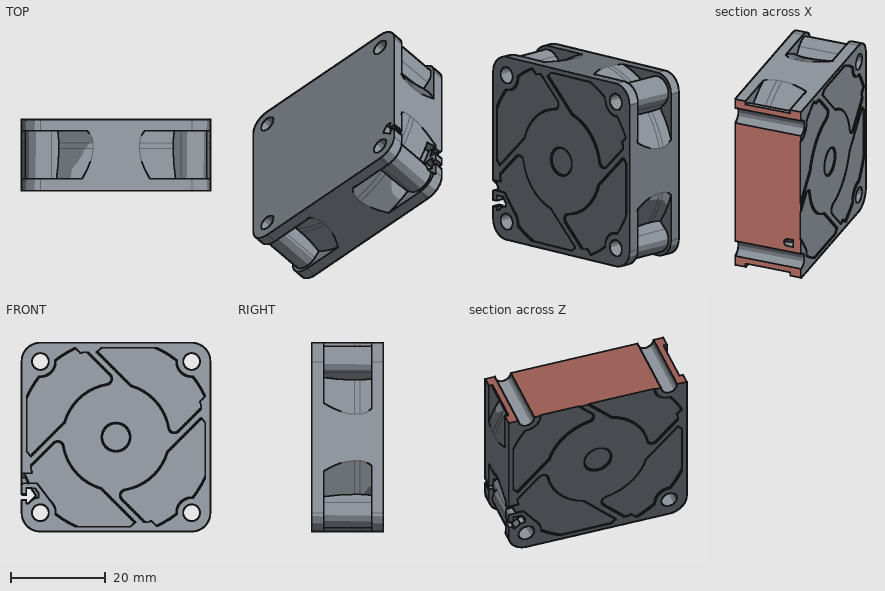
import cadquery as cq
import math


side = 40.0
half = side / 2
thickness = 15.14
front_flange = 2.54
rear_flange = 2.44
corner_radius = 4.0
face_y = -thickness / 2
rear_flange_depth = thickness - rear_flange

throat_radius = 20.6
front_mouth_radius = 21.25
rear_mouth_radius = 20.9
throat_start = 9.05
throat_end = 10.16

hole_pitch = 32.0
hole_diameter = 3.5
boss_radius = 3.2

recess_depth = 0.2
draft_width = 0.22
rim_radius = 20.8
recess_half = 18.93
hub_radius = 11.2
leading_offset = 9.8
trailing_offset = 8.55
recess_tip_radius = 1.1
hub_dimple_radius = 3.1

clip_outer = (-3.0, recess_half)
clip_inner = (-6.4, 16.1)
step_outer_z = 8.7
step_corner = (17.7, 7.45)
step_arc_middle = (18.0, 6.55)
step_arc_end = (17.95, 5.8)
window_foot = (16.0, -2.0)

cable_inset = 1.0
cable_pocket_front = 1.92
cable_pocket_rear = 3.97
cable_pocket_top = -7.86
cable_pocket_fillet = 0.78
notch_top = -8.55
notch_chamfer = 0.95
hook_top = -9.77
hook_corner = -16.7
hook_width = 1.05
hook_round = 0.45
eye_top = -10.8
eye_bottom = -14.0
eye_right = -16.3
eye_right_edge = (-12.0, -12.8)
eye_top_corner = -17.15
eye_elbow = (-17.4, -13.05)
eye_bottom_corner = -18.6
front_slot = (-12.0, -13.35)
rear_slot = (-12.25, -13.2)
rear_slot_lead_in = 0.2

boss_place = hole_pitch / 2
overlap = 1.0
draft_angle = math.degrees(math.atan2(draft_width, recess_depth))


def plane_at(depth):
    """Workplane across the axis at a depth; its normal points towards the front face."""
    return cq.Workplane("XZ", origin=(0, face_y + depth, 0))


def block(x_range, z_range, depth_range):
    x_size = x_range[1] - x_range[0]
    z_size = z_range[1] - z_range[0]
    depth_size = depth_range[1] - depth_range[0]
    corner = (x_range[0], face_y + depth_range[0], z_range[0])
    return cq.Workplane("XY").box(x_size, depth_size, z_size, centered=False).translate(corner)


def disc(radius, depth_range):
    return plane_at(depth_range[1]).circle(radius).extrude(depth_range[1] - depth_range[0])


def quarter_turn(shape, index):
    return shape.rotate((0, 0, 0), (0, 1, 0), 90 * index)


def flange(depth_range):
    plate = block((-half, half), (-half, half), depth_range)
    return plate.edges("|Y").fillet(corner_radius)


def flare_arc_middle(throat, mouth):
    """Middle point of a flare that leaves the throat along the axis; points are (radius, depth)."""
    rise = mouth[0] - throat[0]
    run = mouth[1] - throat[1]
    flare_radius = (rise**2 + run**2) / (2 * rise)
    half_angle = math.asin(run / flare_radius) / 2
    radius = throat[0] + flare_radius * (1 - math.cos(half_angle))
    return (radius, throat[1] + flare_radius * math.sin(half_angle))


def barrel():
    """Flared round body that runs on through the rear flange, cut off flat by the four sides."""
    front_mouth = (front_mouth_radius, front_flange)
    front_throat = (throat_radius, throat_start)
    rear_throat = (throat_radius, throat_end)
    rear_mouth = (rear_mouth_radius, rear_flange_depth)
    body = (
        cq.Workplane("XY", origin=(0, face_y, 0))
        .moveTo(0, front_flange)
        .lineTo(*front_mouth)
        .threePointArc(flare_arc_middle(front_throat, front_mouth), front_throat)
        .lineTo(*rear_throat)
        .threePointArc(flare_arc_middle(rear_throat, rear_mouth), rear_mouth)
        .lineTo(rear_mouth_radius, thickness)
        .lineTo(0, thickness)
        .close()
        .revolve(360, (0, 0, 0), (0, 1, 0))
    )
    return body.intersect(block((-half, half), (-half, half), (0, thickness)))


def boss():
    """Boss in the -X, -Z corner, down to the rear face, with a straight web that runs in to the barrel."""
    length = thickness - front_flange
    reach = boss_place * math.sqrt(2)
    web_length = reach / 2
    post = plane_at(thickness).center(-reach, 0).circle(boss_radius).extrude(length)
    web = block(
        (-reach, -reach + web_length),
        (-boss_radius, boss_radius),
        (front_flange, thickness),
    )
    return post.union(web).rotate((0, 0, 0), (0, 1, 0), -45)


def recess_outline_solid():
    """Drafted recess of the +X, +Z quarter, bounded by two strut edges and the hub."""
    hub = hub_radius + draft_width
    leading = leading_offset + draft_width
    trailing = trailing_offset - draft_width
    far = 2 * half

    def on_diagonals(out, across):
        """Point given along the (1, 1) diagonal and along the (1, -1) diagonal."""
        return ((out + across) / math.sqrt(2), (out - across) / math.sqrt(2))

    leading_across = -math.sqrt(hub**2 - leading**2)
    tip_across = trailing - recess_tip_radius
    tip_out = math.sqrt((hub + recess_tip_radius) ** 2 - tip_across**2)
    hub_share = hub / (hub + recess_tip_radius)
    hub_start_angle = math.atan2(leading_across, leading)
    hub_end_angle = math.atan2(tip_across, tip_out)
    hub_angle = (hub_start_angle + hub_end_angle) / 2
    tip_start = (tip_out * hub_share, tip_across * hub_share)
    tip_angle = (hub_end_angle + math.pi + math.pi / 2) / 2
    tip_middle = (
        tip_out + recess_tip_radius * math.cos(tip_angle),
        tip_across + recess_tip_radius * math.sin(tip_angle),
    )
    return (
        plane_at(recess_depth)
        .moveTo(*on_diagonals(leading, -far))
        .lineTo(*on_diagonals(leading, leading_across))
        .threePointArc(
            on_diagonals(hub * math.cos(hub_angle), hub * math.sin(hub_angle)),
            on_diagonals(*tip_start),
        )
        .threePointArc(on_diagonals(*tip_middle), on_diagonals(tip_out, trailing))
        .lineTo(*on_diagonals(far, trailing))
        .lineTo(*on_diagonals(far, -far))
        .close()
        .extrude(recess_depth, taper=-draft_angle)
    )


def recess_window():
    """Straight-walled limits of the +X, +Z recess, with the clipped strut ends."""
    return (
        plane_at(recess_depth)
        .moveTo(0, 0)
        .lineTo(*clip_inner)
        .lineTo(*clip_outer)
        .lineTo(recess_half, recess_half)
        .lineTo(recess_half, step_outer_z)
        .lineTo(*step_corner)
        .threePointArc(step_arc_middle, step_arc_end)
        .lineTo(*window_foot)
        .close()
        .extrude(recess_depth)
    )


def recess():
    rim = plane_at(recess_depth).circle(rim_radius - draft_width)
    rim_cone = rim.extrude(recess_depth, taper=-draft_angle)
    corner_boss = (
        plane_at(recess_depth)
        .center(boss_place, boss_place)
        .circle(boss_radius + draft_width / 2)
        .extrude(recess_depth, taper=draft_angle)
    )
    return recess_outline_solid().intersect(recess_window()).intersect(rim_cone).cut(corner_boss)


def hook_plateau():
    """Full-height land that joins the hook arm to the corner boss."""
    toward_corner = (hook_corner + boss_place, hook_top + boss_place)
    distance = math.hypot(*toward_corner)
    tangent_angle = math.atan2(toward_corner[1], toward_corner[0]) - math.acos(boss_radius / distance)
    tangent = (
        -boss_place + boss_radius * math.cos(tangent_angle),
        -boss_place + boss_radius * math.sin(tangent_angle),
    )
    arm = (
        plane_at(recess_depth)
        .moveTo(-half, hook_top)
        .lineTo(hook_corner, hook_top)
        .lineTo(*tangent)
        .lineTo(-boss_place, -boss_place)
        .lineTo(-half, -boss_place)
        .close()
        .extrude(recess_depth)
    )
    land = plane_at(recess_depth).center(-boss_place, -boss_place).circle(boss_radius)
    return arm.union(land.extrude(recess_depth))


def hub_dimple():
    floor = plane_at(recess_depth).circle(hub_dimple_radius - draft_width)
    return floor.extrude(recess_depth, taper=-draft_angle)


def cable_eye(slot, depth_range):
    """Arrow-shaped opening in a flange, with the entry slot between the two hook ends."""
    inner = -half + hook_width
    eye = (
        plane_at(depth_range[1])
        .moveTo(inner, eye_top)
        .lineTo(eye_top_corner, eye_top)
        .lineTo(eye_right, eye_right_edge[0])
        .lineTo(eye_right, eye_right_edge[1])
        .lineTo(*eye_elbow)
        .lineTo(eye_bottom_corner, eye_bottom)
        .lineTo(inner, eye_bottom)
        .close()
        .extrude(depth_range[1] - depth_range[0])
    )
    return eye.union(block((-half - overlap, inner + overlap / 2), (slot[1], slot[0]), depth_range))


def cable_notch():
    """Gap above the hook arm, with a sloped lead-in on its upper edge."""
    profile = (
        cq.Workplane("YZ", origin=(-half - overlap, face_y, 0))
        .moveTo(0, hook_top)
        .lineTo(front_flange, hook_top)
        .lineTo(front_flange, notch_top)
        .lineTo(notch_chamfer, notch_top)
        .lineTo(0, notch_top + notch_chamfer)
        .close()
        .extrude(half)
    )
    ledge = block((-half, hook_corner), (hook_top, notch_top + notch_chamfer), (0, recess_depth))
    core = disc(rim_radius, (0, thickness))
    return profile.cut(core).union(ledge.intersect(core))


def cable_pocket():
    """Pocket behind the front flange, set into the barrel and the side of the boss."""
    depth_range = (cable_pocket_front, cable_pocket_rear)
    wall_radius = throat_radius - cable_inset
    wall_offset = (boss_radius - cable_inset) * math.sqrt(2)
    outer = -half - overlap
    corner = -math.sqrt(wall_radius**2 - cable_pocket_top**2)
    along = math.sqrt(wall_radius**2 - (boss_radius - cable_inset) ** 2)
    meeting_x = -(along + boss_radius - cable_inset) / math.sqrt(2)
    meeting_z = meeting_x + wall_offset
    middle_angle = (math.atan2(cable_pocket_top, corner) + math.atan2(meeting_z, meeting_x)) / 2
    middle = (wall_radius * math.cos(middle_angle), wall_radius * math.sin(middle_angle))
    pocket = (
        plane_at(cable_pocket_rear)
        .moveTo(outer, cable_pocket_top)
        .lineTo(corner, cable_pocket_top)
        .threePointArc(middle, (meeting_x, meeting_z))
        .lineTo(outer, outer + wall_offset)
        .close()
        .extrude(depth_range[1] - depth_range[0])
    )
    wall_point = (middle[0], face_y + cable_pocket_rear, middle[1])
    flat_middle = (outer + meeting_x) / 2
    flat_point = (flat_middle, face_y + cable_pocket_rear, flat_middle + wall_offset)
    rear_edges = pocket.faces(">Y").edges(cq.NearestToPointSelector(wall_point)).add(
        pocket.faces(">Y").edges(cq.NearestToPointSelector(flat_point))
    )
    return rear_edges.fillet(cable_pocket_fillet)


def rear_lead_in():
    """Bevels that open the rear entry slot towards the -X side."""
    return (
        plane_at(thickness)
        .moveTo(-half, rear_slot[0] + rear_slot_lead_in)
        .lineTo(-half + rear_slot_lead_in, rear_slot[0])
        .lineTo(-half + rear_slot_lead_in, rear_slot[1])
        .lineTo(-half, rear_slot[1] - rear_slot_lead_in)
        .close()
        .extrude(rear_flange)
    )


def flange_relief():
    """Thin gap behind the front flange that carries the cable pocket up to the barrel mouth."""
    gap = block(
        (-half, -half + front_flange),
        (cable_pocket_top, cable_pocket_top + overlap),
        (cable_pocket_front, front_flange),
    )
    rise = front_mouth_radius - throat_radius
    run = throat_start - front_flange
    mouth_slope = math.degrees(2 * math.atan2(rise, run))
    mouth = plane_at(front_flange).circle(front_mouth_radius)
    return gap.cut(mouth.extrude(front_flange - cable_pocket_front, taper=-mouth_slope))


def hook_rounding():
    """Waste outside the rounded upper corner of the hook arm."""
    depth_range = (0, front_flange)
    corner = block((-half, -half + hook_round), (hook_top - hook_round, hook_top), depth_range)
    round_bar = (
        plane_at(front_flange)
        .center(-half + hook_round, hook_top - hook_round)
        .circle(hook_round)
        .extrude(front_flange)
    )
    return corner.cut(round_bar)


def housing():
    front_range = (0, front_flange)
    rear_range = (rear_flange_depth, thickness)
    rear = flange(rear_range).cut(cable_eye(rear_slot, rear_range)).cut(rear_lead_in())
    front = flange(front_range).cut(cable_notch()).cut(hook_rounding()).cut(flange_relief())
    core = barrel()
    one_boss = boss()
    for index in range(4):
        core = core.union(quarter_turn(one_boss, index))
    one_recess = recess()
    recesses = one_recess
    for index in range(1, 4):
        recesses = recesses.union(quarter_turn(one_recess, index))
    body = core.union(front).union(rear)
    body = body.cut(recesses.cut(hook_plateau())).cut(hub_dimple())
    body = body.cut(cable_pocket()).cut(cable_eye(front_slot, (0, cable_pocket_front)))
    places = [(x, z) for x in (-boss_place, boss_place) for z in (-boss_place, boss_place)]
    holes = plane_at(thickness).pushPoints(places).circle(hole_diameter / 2).extrude(thickness)
    return body.cut(holes)


result = housing()